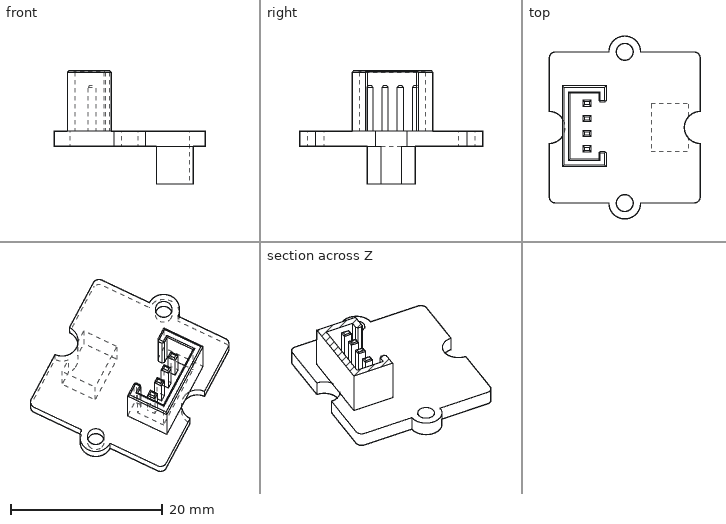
import cadquery as cq

board_side = 20.0
board_thickness = 2.0
corner_radius = 0.85

edge_arc_radius = 2.1
hole_diameter = 2.2

shroud_width = 5.8
shroud_length = 10.7
shroud_height = 7.99
shroud_wall = 1.0
shroud_inset = 1.75
shroud_center_y = 0.17
mouth_length = 6.49
mouth_center_y = 0.1
outer_chamfer = 0.22
rim_chamfer = 0.17
mouth_chamfer = 0.25

pin_count = 4
pin_pitch = 2.0
pin_width = 1.06
pin_length = 0.82
pin_height = 6.0
pin_chamfer = 0.22
pin_row_inset = 5.0
pin_row_center_y = 0.2

block_width = 4.9
block_length = 6.4
block_height = 5.0
block_inset = 1.6

half_side = board_side / 2
shroud_center_x = -half_side + shroud_inset + shroud_width / 2
shroud_right_x = shroud_center_x + shroud_width / 2


def make_board():
    """Rounded plate with two drilled ears in Y and two half-round notches in X."""
    board = cq.Workplane("XY").rect(board_side, board_side).extrude(board_thickness)
    board = board.edges("|Z").fillet(corner_radius)
    ear_centers = [(0, -half_side), (0, half_side)]
    notch_centers = [(-half_side, 0), (half_side, 0)]
    ears = cq.Workplane("XY").pushPoints(ear_centers).circle(edge_arc_radius).extrude(board_thickness)
    holes = cq.Workplane("XY").pushPoints(ear_centers).circle(hole_diameter / 2).extrude(board_thickness)
    notches = cq.Workplane("XY").pushPoints(notch_centers).circle(edge_arc_radius).extrude(board_thickness)
    return board.union(ears).cut(holes).cut(notches)


def make_shroud():
    """C-shaped wall with a chamfered rim and chamfered mouth corners."""
    base = cq.Workplane("XY", origin=(shroud_center_x, shroud_center_y, board_thickness))
    cavity_width = shroud_width - 2 * shroud_wall
    cavity_length = shroud_length - 2 * shroud_wall
    body = base.rect(shroud_width, shroud_length).extrude(shroud_height)
    body = body.faces(">Z").edges().chamfer(outer_chamfer)

    cavity = base.rect(cavity_width, cavity_length).extrude(shroud_height)
    rim = (
        base.workplane(offset=shroud_height - rim_chamfer)
        .rect(cavity_width, cavity_length)
        .workplane(offset=rim_chamfer)
        .rect(cavity_width + 2 * rim_chamfer, cavity_length + 2 * rim_chamfer)
        .loft(ruled=True)
    )
    return body.cut(cavity).cut(rim).cut(make_mouth())


def make_mouth():
    """Opening through the +X wall, flared at both wall faces and at the rim."""
    half_mouth = mouth_length / 2
    half_flare = half_mouth + mouth_chamfer
    inner_x = shroud_right_x - shroud_wall
    plan = [
        (inner_x, -half_flare),
        (inner_x + mouth_chamfer, -half_mouth),
        (shroud_right_x - mouth_chamfer, -half_mouth),
        (shroud_right_x, -half_flare),
        (shroud_right_x, half_flare),
        (shroud_right_x - mouth_chamfer, half_mouth),
        (inner_x + mouth_chamfer, half_mouth),
        (inner_x, half_flare),
    ]
    opening = (
        cq.Workplane("XY", origin=(0, mouth_center_y, board_thickness))
        .polyline(plan)
        .close()
        .extrude(shroud_height)
    )
    rim_top = board_thickness + shroud_height
    rim_profile = [
        (mouth_center_y - half_mouth, rim_top - mouth_chamfer),
        (mouth_center_y - half_flare, rim_top),
        (mouth_center_y + half_flare, rim_top),
        (mouth_center_y + half_mouth, rim_top - mouth_chamfer),
    ]
    rim_flare = (
        cq.Workplane("YZ", origin=(inner_x, 0, 0))
        .polyline(rim_profile)
        .close()
        .extrude(shroud_wall)
    )
    return opening.union(rim_flare)


def make_pins():
    """Row of rectangular pins with bevelled tips."""
    row = cq.Workplane("XY", origin=(-half_side + pin_row_inset, pin_row_center_y, board_thickness))
    pins = row.rarray(0.25, pin_pitch, 1, pin_count).rect(pin_width, pin_length).extrude(pin_height)
    return pins.faces(">Z").edges().chamfer(pin_chamfer)


def make_block():
    """Component block below the board, relieved where the +X notch passes through."""
    block_center_x = half_side - block_inset - block_width / 2
    block = cq.Workplane("XY").center(block_center_x, 0)
    block = block.rect(block_width, block_length).extrude(-block_height)
    notch = cq.Workplane("XY").center(half_side, 0).circle(edge_arc_radius).extrude(-block_height)
    return block.cut(notch)


result = make_board().union(make_shroud()).union(make_pins()).union(make_block())